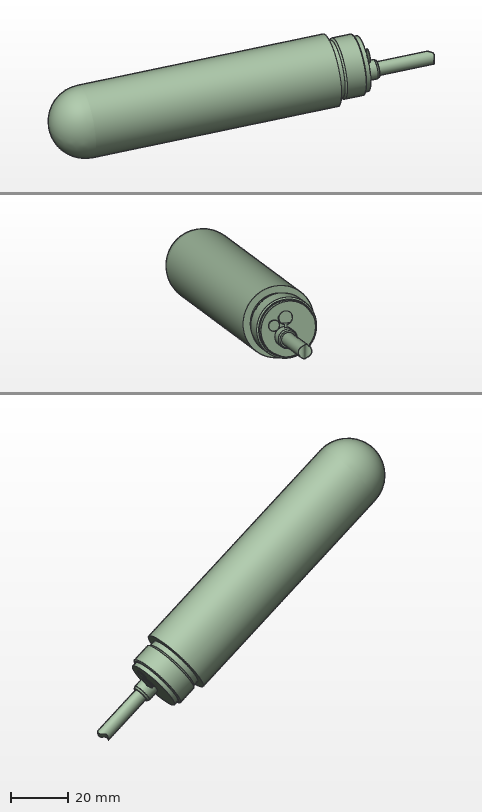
import cadquery as cq

total_length = 140.17
body_diameter = 26.0
body_radius = body_diameter / 2
straight_length = 90.0
body_end = body_radius + straight_length

neck_diameter = 20.78
neck_length = 2.1
cap_diameter = 22.0
cap_length = 7.9
cap_front_bevel = 0.7
cap_rear_bevel = 0.35
end_plug_diameter = 20.0
end_plug_length = 1.7
cap_start = body_end + neck_length
cap_end = cap_start + cap_length
rear_face = cap_end + end_plug_length

cable_x = 1.5
cable_z = -2.5
cable_diameter = 5.0
cable_radius = cable_diameter / 2
break_wave_height = 0.7
gland_diameter = 7.0
gland_tip_diameter = 6.2
gland_length = 5.0
gland_bevel = 0.8

pad_diameter = 4.0
pad_height = 0.4
pad_x = 5.3
pad_z = 1.6

leaf_diameter = 5.0
leaf_z = 4.5
leaf_thickness = 0.05
leaf_gap = 1.65
leaf_fold_depth = 0.85
leaf_fold_base_z = 2.6
leaf_fold_low_z = 3.7
leaf_fold_high_z = 5.1
leaf_tab_width = 1.0


def cylinder_y(x, z, start, diameter, length):
    """Cylinder along +Y from Y = start, centred at (x, z)."""
    center = cq.Vector(x, start, z)
    direction = cq.Vector(0, 1, 0)
    return cq.Workplane(obj=cq.Solid.makeCylinder(diameter / 2, length, center, direction))


def make_housing():
    """Nose, tube, neck, bevelled cap and end plug as one revolved outline."""
    nose_mid = body_radius * 0.5 ** 0.5
    neck_radius = neck_diameter / 2
    cap_radius = cap_diameter / 2
    plug_radius = end_plug_diameter / 2
    return (
        cq.Workplane("XY")
        .moveTo(0, 0)
        .threePointArc((nose_mid, body_radius - nose_mid), (body_radius, body_radius))
        .lineTo(body_radius, body_end)
        .lineTo(neck_radius, body_end)
        .lineTo(neck_radius, cap_start)
        .lineTo(cap_radius, cap_start + cap_front_bevel)
        .lineTo(cap_radius, cap_end - cap_rear_bevel)
        .lineTo(neck_radius, cap_end)
        .lineTo(plug_radius, cap_end)
        .lineTo(plug_radius, rear_face)
        .lineTo(0, rear_face)
        .close()
        .revolve(360, (0, 0, 0), (0, 1, 0))
    )


def make_gland():
    """Cable gland with a conical tip, revolved about the cable axis."""
    gland_radius = gland_diameter / 2
    gland_end = rear_face + gland_length
    return (
        cq.Workplane("XY", origin=(cable_x, 0, cable_z))
        .moveTo(0, cap_end)
        .lineTo(gland_radius, cap_end)
        .lineTo(gland_radius, gland_end - gland_bevel)
        .lineTo(gland_tip_diameter / 2, gland_end)
        .lineTo(0, gland_end)
        .close()
        .revolve(360, (0, 0, 0), (0, 1, 0))
    )


def make_cable():
    """Cable stub whose free end is cut off along an S-shaped break line."""
    cable = cylinder_y(cable_x, cable_z, cap_end, cable_diameter, total_length - cap_end)
    half = cable_radius / 2
    wave_middle = total_length - break_wave_height
    wave_low = wave_middle - break_wave_height
    kept = (
        cq.Workplane("XY", origin=(cable_x, 0, cable_z))
        .moveTo(-cable_radius, cap_end)
        .lineTo(-cable_radius, wave_middle)
        .threePointArc((-half, wave_low), (0, wave_middle))
        .threePointArc((half, total_length), (cable_radius, wave_middle))
        .lineTo(cable_radius, cap_end)
        .close()
        .extrude(cable_radius, both=True)
    )
    return cable.intersect(kept)


def make_leaf():
    """Thin round leaf with a folded tongue, tied to the gland by a narrow tab."""
    leaf_start = rear_face + leaf_gap
    disc = cylinder_y(cable_x, leaf_z, leaf_start, leaf_diameter, leaf_thickness)

    fold_low = leaf_start - leaf_fold_depth
    tongue = (
        cq.Workplane("YZ", origin=(cable_x, 0, 0))
        .moveTo(leaf_start, leaf_fold_base_z)
        .lineTo(fold_low, leaf_fold_low_z)
        .lineTo(fold_low, leaf_fold_high_z)
        .lineTo(fold_low + leaf_thickness, leaf_fold_high_z)
        .lineTo(fold_low + leaf_thickness, leaf_fold_low_z)
        .lineTo(leaf_start + leaf_thickness, leaf_fold_base_z)
        .close()
        .extrude(leaf_diameter / 2, both=True)
    )
    envelope = cylinder_y(cable_x, leaf_z, rear_face, leaf_diameter, leaf_gap + leaf_thickness)

    tab = cq.Workplane("XY").box(
        leaf_tab_width, leaf_thickness, leaf_z - cable_z, centered=(True, False, False)
    )
    tab = tab.translate((cable_x, leaf_start, cable_z))
    return disc.union(tongue.intersect(envelope)).union(tab)


pad = cylinder_y(pad_x, pad_z, cap_end, pad_diameter, end_plug_length + pad_height)

result = make_housing().union(make_gland()).union(make_cable()).union(pad).union(make_leaf())